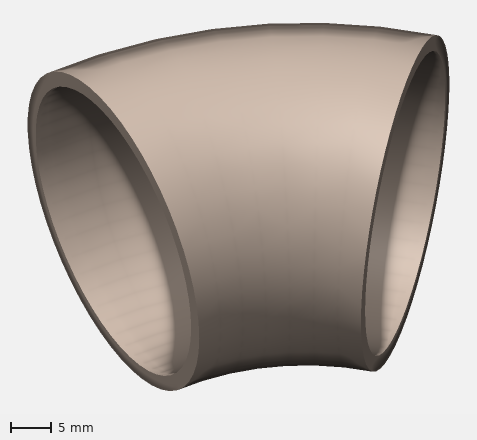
import cadquery as cq
import math

overall_length = 50.1
outer_diameter = 42.4
wall_thickness = 2.0
bend_angle = 45.0

outer_radius = outer_diameter / 2
inner_radius = outer_radius - wall_thickness

bend_cosine = math.cos(math.radians(bend_angle))
bend_radius = (overall_length - outer_radius * (1 + bend_cosine)) / (1 - bend_cosine)


def make_elbow():
    """Sweep the pipe ring from the XZ plane toward +Y, around a bend centre on the +X side."""
    ring = cq.Workplane("XZ").circle(outer_radius).circle(inner_radius)
    axis_start = (bend_radius, 0)
    axis_end = (bend_radius, -1)
    return ring.revolve(bend_angle, axis_start, axis_end)


result = make_elbow()